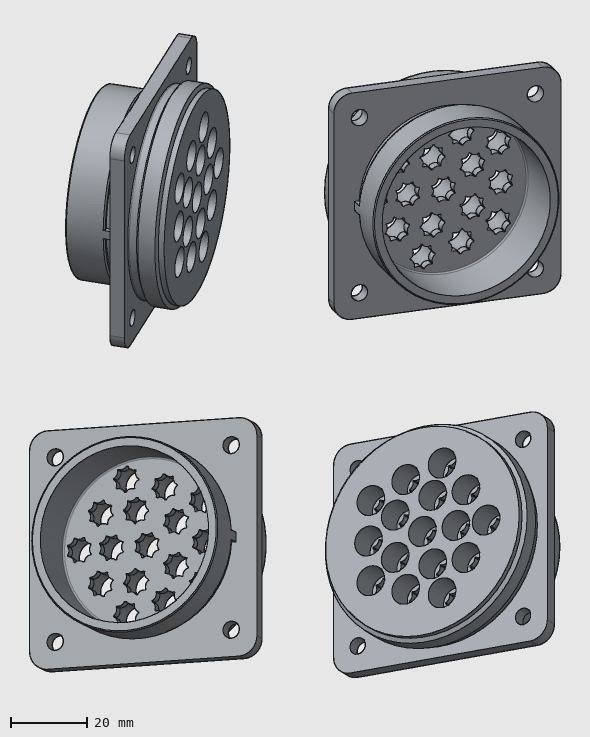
import cadquery as cq
import math

FRONT_RIM = 0.0
COLLAR_END = 10.85
CAVITY_FLOOR = 16.9
FLANGE_FRONT = 14.05
FLANGE_THICKNESS = 4.0
FLANGE_BACK = FLANGE_FRONT + FLANGE_THICKNESS
TOTAL_LENGTH = 28.0

FLANGE_SIDE = 63.5
FLANGE_CORNER_RADIUS = 5.1
MOUNTING_HOLE_DIAMETER = 4.5
MOUNTING_HOLE_SPACING = 49.15

COLLAR_DIAMETER = 52.0
RIM_CHAMFER = 0.3
COLLAR_END_CHAMFER = 0.45
NECK_DIAMETER = 49.45
KEY_WIDTH = 2.55
CAVITY_DIAMETER = 47.0
CAVITY_FLOOR_FILLET = 0.45

BARREL_DIAMETER = 57.5
BARREL_ROOT_DIAMETER = 57.65
BARREL_ROOT_LENGTH = 0.4
RIB_DIAMETER = 59.95
RIB_RAMP_START = 20.45
RIB_FRONT = 21.15
RIB_BACK = 25.85
RIB_RAMP_END = 26.4

CONTACT_BORE_DIAMETER = 8.2
OPENING_DEPTH = 2.6
SCALLOP_COUNT = 8
SCALLOP_LAND_RADIUS = 3.5
SCALLOP_LAND_WIDTH = 0.25
SCALLOP_CREST_RADIUS = 2.85

CONTACT_PITCH_ANGLE = 72
INNER_CIRCLE_RADIUS = 10.0
MIDDLE_CIRCLE_RADIUS = 16.0
OUTER_CIRCLE_RADIUS = 18.9


def point_on_circle(radius, angle):
    """Point at an angle in degrees, measured from +Y towards +Z."""
    return (radius * math.cos(math.radians(angle)), radius * math.sin(math.radians(angle)))


def disc(diameter, start, end):
    """Solid cylinder on the connector axis between two X positions."""
    return cq.Workplane("YZ").workplane(offset=start).circle(diameter / 2).extrude(end - start)


def make_flange():
    plate = (
        cq.Workplane("YZ").workplane(offset=FLANGE_FRONT)
        .rect(FLANGE_SIDE, FLANGE_SIDE)
        .extrude(FLANGE_THICKNESS)
        .edges("|X").fillet(FLANGE_CORNER_RADIUS)
    )
    return (
        plate.faces("<X").workplane(origin=(0, 0, 0))
        .rect(MOUNTING_HOLE_SPACING, MOUNTING_HOLE_SPACING, forConstruction=True)
        .vertices()
        .hole(MOUNTING_HOLE_DIAMETER)
    )


def make_collar():
    collar = (
        disc(COLLAR_DIAMETER, FRONT_RIM, COLLAR_END)
        .faces("<X").edges().chamfer(RIM_CHAMFER)
        .faces(">X").edges().chamfer(COLLAR_END_CHAMFER)
    )
    neck = disc(NECK_DIAMETER, FRONT_RIM, FLANGE_FRONT)
    key_start = COLLAR_END - COLLAR_END_CHAMFER
    key_length = FLANGE_FRONT - key_start
    key_bar = (
        cq.Workplane("YZ").workplane(offset=key_start)
        .rect(COLLAR_DIAMETER, KEY_WIDTH)
        .extrude(key_length)
    )
    keys = key_bar.intersect(disc(COLLAR_DIAMETER, key_start, FLANGE_FRONT))
    return collar.union(neck).union(keys)


def make_barrel():
    barrel_radius = BARREL_DIAMETER / 2
    root_radius = BARREL_ROOT_DIAMETER / 2
    rib_radius = RIB_DIAMETER / 2
    half_profile = [
        (FLANGE_BACK, 0),
        (FLANGE_BACK, root_radius),
        (FLANGE_BACK + BARREL_ROOT_LENGTH, barrel_radius),
        (RIB_RAMP_START, barrel_radius),
        (RIB_FRONT, rib_radius),
        (RIB_BACK, rib_radius),
        (RIB_RAMP_END, barrel_radius),
        (TOTAL_LENGTH, barrel_radius),
        (TOTAL_LENGTH, 0),
    ]
    return cq.Workplane("XY").polyline(half_profile).close().revolve(360, (0, 0, 0), (1, 0, 0))


def make_cavity():
    return (
        disc(CAVITY_DIAMETER, FRONT_RIM, CAVITY_FLOOR)
        .faces(">X").edges().fillet(CAVITY_FLOOR_FILLET)
    )


def make_contact_opening():
    """Cutter for one contact opening centred on the connector axis."""
    pitch = 360 / SCALLOP_COUNT
    half_land = math.degrees(SCALLOP_LAND_WIDTH / 2 / SCALLOP_LAND_RADIUS)
    half_scallop = pitch / 2 - half_land
    outline = cq.Workplane("YZ").workplane(offset=CAVITY_FLOOR)
    outline = outline.moveTo(*point_on_circle(SCALLOP_LAND_RADIUS, -half_scallop))
    for index in range(SCALLOP_COUNT):
        middle = index * pitch
        crest = point_on_circle(SCALLOP_CREST_RADIUS, middle)
        scallop_end = point_on_circle(SCALLOP_LAND_RADIUS, middle + half_scallop)
        land_middle = point_on_circle(SCALLOP_LAND_RADIUS, middle + pitch / 2)
        land_end = point_on_circle(SCALLOP_LAND_RADIUS, middle + pitch - half_scallop)
        outline = outline.threePointArc(crest, scallop_end).threePointArc(land_middle, land_end)
    opening = outline.close().extrude(OPENING_DEPTH)
    bore = disc(CONTACT_BORE_DIAMETER, CAVITY_FLOOR + OPENING_DEPTH, TOTAL_LENGTH)
    return opening.union(bore)


def contact_locations():
    """Radius and angle, from +Y towards +Z, of every contact."""
    locations = [(0, 0)]
    for step in range(360 // CONTACT_PITCH_ANGLE):
        angle = step * CONTACT_PITCH_ANGLE
        locations.append((INNER_CIRCLE_RADIUS, angle))
        locations.append((OUTER_CIRCLE_RADIUS, angle))
        locations.append((MIDDLE_CIRCLE_RADIUS, angle + 180))
    return locations


result = make_flange().union(make_collar()).union(make_barrel()).cut(make_cavity())
contact_opening = make_contact_opening()
for radius, angle in contact_locations():
    placed_opening = contact_opening.translate((0, radius, 0)).rotate((0, 0, 0), (1, 0, 0), angle)
    result = result.cut(placed_opening)